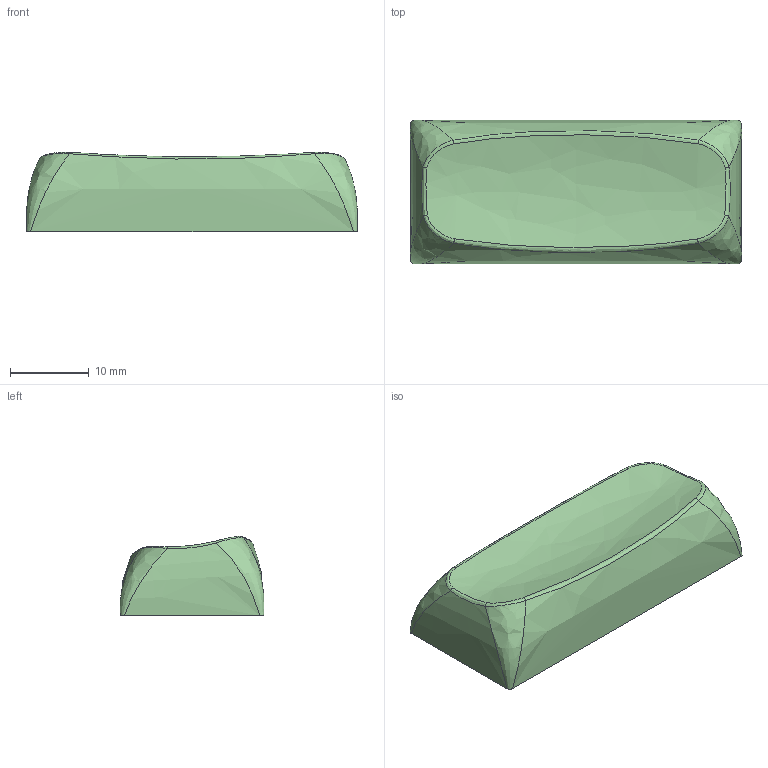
import cadquery as cq

key_pitch = 19.05
key_units = 2.25
base_depth = 18.2
base_length = key_pitch * key_units - (key_pitch - base_depth)
base_corner_radius = 0.5

top_inset = 5.0
top_length = base_length - top_inset
top_depth = base_depth - top_inset
top_bow = 1.7
top_corner_radius = 5.0

height = 10.6
top_tilt = -7.3

middle_fraction = 1 / 4
middle_corner_radius = (top_corner_radius - base_corner_radius) / 3

dish_depth = 2.9
dish_end_depth = dish_depth - 1.5
dish_flare = 2.0
dish_end_half_width = base_depth / 2 - dish_flare
dish_middle_half_width = base_depth / 2 + dish_flare
dish_middle_edge_drop = 0.5
rim_fillet = 0.5


def rounded_rectangle(corner_radius):
    return cq.Sketch().rect(base_length, base_depth).vertices().fillet(corner_radius)


def bowed_top():
    """Four shallow outward arcs joined by large corner rounds."""
    x_side = top_length / 2
    y_side = top_depth / 2
    x_corner = x_side - top_bow
    y_corner = y_side - top_bow
    return (
        cq.Sketch()
        .arc((-x_corner, -y_corner), (-x_side, 0), (-x_corner, y_corner))
        .arc((-x_corner, y_corner), (0, y_side), (x_corner, y_corner))
        .arc((x_corner, y_corner), (x_side, 0), (x_corner, -y_corner))
        .arc((x_corner, -y_corner), (0, -y_side), (-x_corner, -y_corner))
        .assemble()
        .vertices()
        .fillet(top_corner_radius)
    )


def raised_wire(sketch, fraction):
    """Outline of a sketch, lifted and tilted by a fraction of the full height and tilt."""
    lift = cq.Vector(0, 0, height * fraction)
    tilt_axis = cq.Vector(1, 0, 0)
    placed = sketch.moved(cq.Location(lift, tilt_axis, top_tilt * fraction))
    return placed.faces().val().outerWire()


def make_body():
    """Solid key, lofted smoothly from the tight-cornered base to the bowed top."""
    base = raised_wire(rounded_rectangle(base_corner_radius), 0)
    middle = raised_wire(rounded_rectangle(middle_corner_radius), middle_fraction)
    top = raised_wire(bowed_top(), 1)
    return cq.Workplane(cq.Solid.makeLoft([base, middle, top]))


def dish_section(x, half_width, edge_drop, depth):
    """Closed section of the dish cutter at one X: an arc below, open space above."""
    return (
        cq.Workplane("YZ")
        .transformed(offset=(0, height, x), rotate=(0, 0, top_tilt))
        .moveTo(-half_width, -edge_drop)
        .threePointArc((0, -depth), (half_width, -edge_drop))
        .lineTo(base_depth / 2, height)
        .lineTo(-base_depth / 2, height)
        .close()
        .val()
    )


def make_dish_cutter():
    """Scoop lofted along X, deepest at the middle of the key."""
    half_length = base_length / 2
    right_end = dish_section(half_length, dish_end_half_width, 0, dish_end_depth)
    middle = dish_section(0, dish_middle_half_width, dish_middle_edge_drop, dish_depth)
    left_end = dish_section(-half_length, dish_end_half_width, 0, dish_end_depth)
    return cq.Workplane(cq.Solid.makeLoft([right_end, middle, left_end]))


dished_body = make_body().cut(make_dish_cutter())

result = dished_body.edges(">Z").fillet(rim_fillet).solids()